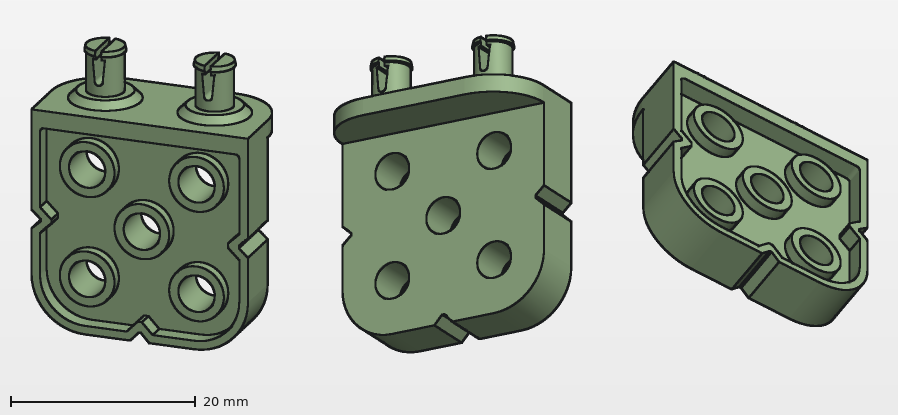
import cadquery as cq

width = 25.1
plate_height = 25.27
plate_depth = 6.03
hole_pitch = 12.68
edge_distance = (width - hole_pitch) / 2
corner_radius = edge_distance
centre_height = width / 2

shelf_depth = 2 * edge_distance
shelf_thickness = 2.0

wall = 1.0
pocket_depth = 2.0
pocket_top_margin = 2.0
pocket_top_radius = 0.47
boss_diameter = 6.35
boss_height = 1.35
hole_diameter = 4.2

notch_half_width = 1.1
notch_tip_half_width = 0.13
notch_depth = 1.07
notch_wall_half_width = 1.5
notch_wall_tip_half_width = 0.25
notch_wall_depth = 1.32

pin_diameter = 4.2
pin_height = 6.12
collar_height = 0.88
collar_top_diameter = 6.35
collar_base_diameter = collar_top_diameter + 2 * collar_height
head_top_diameter = 4.33
head_diameter = 4.58
head_lip_depth = 0.55
head_depth = 0.7
slot_width = 0.7
slot_depth = 1.05
keyhole_top_width = 1.4
keyhole_bottom_width = 0.95
keyhole_depth = 4.02
keyhole_tip_radius = keyhole_bottom_width / 2


def box(x_min, x_max, y_min, y_max, z_min, z_max):
    size = (x_max - x_min, y_max - y_min, z_max - z_min)
    return cq.Workplane("XY").box(*size, centered=False).translate((x_min, y_min, z_min))


def extrude_back(profile, y_start, depth):
    """Extrude a closed XZ profile toward +Y."""
    return profile.extrude(-depth).translate((0, y_start, 0))


def notches(inset, half_width, tip_half_width, depth, y_depth):
    """Truncated V prisms pointing inward from both sides and the bottom edge."""
    base = centre_height - inset
    tip = base - depth
    profile = [(-half_width, -base), (-tip_half_width, -tip), (tip_half_width, -tip), (half_width, -base)]
    bottom = extrude_back(cq.Workplane("XZ").polyline(profile).close(), 0, y_depth)
    prisms = bottom
    for angle in (90, -90):
        prisms = prisms.union(bottom.rotate((0, 0, 0), (0, 1, 0), angle))
    return prisms.translate((0, 0, centre_height))


def make_plate():
    plate = box(-width / 2, width / 2, 0, plate_depth, 0, plate_height)
    plate = plate.edges("|Y and <Z").fillet(corner_radius)
    return plate.cut(notches(0, notch_half_width, notch_tip_half_width, notch_depth, plate_depth))


def make_shelf():
    shelf = box(-width / 2, width / 2, 0, shelf_depth, plate_height - shelf_thickness, plate_height)
    return shelf.edges("|Z and >Y").fillet(corner_radius)


def make_pocket():
    half_width = width / 2 - wall
    pocket = box(-half_width, half_width, 0, pocket_depth, wall, plate_height - pocket_top_margin)
    pocket = pocket.edges("|Y and <Z").fillet(corner_radius - wall)
    pocket = pocket.edges("|Y and >Z").fillet(pocket_top_radius)
    return pocket.cut(
        notches(wall, notch_wall_half_width, notch_wall_tip_half_width, notch_wall_depth, pocket_depth)
    )


def cylinders_at_holes(diameter, y_start, depth):
    """Cylinders along Y at the four corner holes and the central one."""
    half_pitch = hole_pitch / 2
    points = [(x, z) for x in (-half_pitch, half_pitch) for z in (-half_pitch, half_pitch)]
    points.append((0, 0))
    circles = cq.Workplane("XZ", origin=(0, 0, centre_height)).pushPoints(points).circle(diameter / 2)
    return extrude_back(circles, y_start, depth)


def make_pin():
    """Snap pin on the Z axis, standing on Z = 0, split across X."""
    pin_radius = pin_diameter / 2
    body = (
        cq.Workplane("XZ")
        .polyline([
            (0, 0),
            (collar_base_diameter / 2, 0),
            (collar_top_diameter / 2, collar_height),
            (pin_radius, collar_height),
            (pin_radius, pin_height - head_depth),
            (head_diameter / 2, pin_height - head_lip_depth),
            (head_top_diameter / 2, pin_height),
            (0, pin_height),
        ])
        .close()
        .revolve(360, (0, 0, 0), (0, 1, 0))
    )
    keyhole_top = pin_height - slot_depth
    keyhole_bottom = pin_height - keyhole_depth
    tip_start = keyhole_bottom + keyhole_tip_radius
    split = (
        cq.Workplane("XZ")
        .moveTo(-slot_width / 2, pin_height)
        .lineTo(-slot_width / 2, keyhole_top)
        .lineTo(-keyhole_top_width / 2, keyhole_top)
        .lineTo(-keyhole_tip_radius, tip_start)
        .threePointArc((0, keyhole_bottom), (keyhole_tip_radius, tip_start))
        .lineTo(keyhole_top_width / 2, keyhole_top)
        .lineTo(slot_width / 2, keyhole_top)
        .lineTo(slot_width / 2, pin_height)
        .close()
        .extrude(head_diameter, both=True)
    )
    return body.cut(split)


result = make_plate().union(make_shelf()).cut(make_pocket())
result = result.union(cylinders_at_holes(boss_diameter, pocket_depth - boss_height, boss_height))
result = result.cut(cylinders_at_holes(hole_diameter, 0, plate_depth))
for pin_x in (-hole_pitch / 2, hole_pitch / 2):
    result = result.union(make_pin().translate((pin_x, edge_distance, plate_height)))